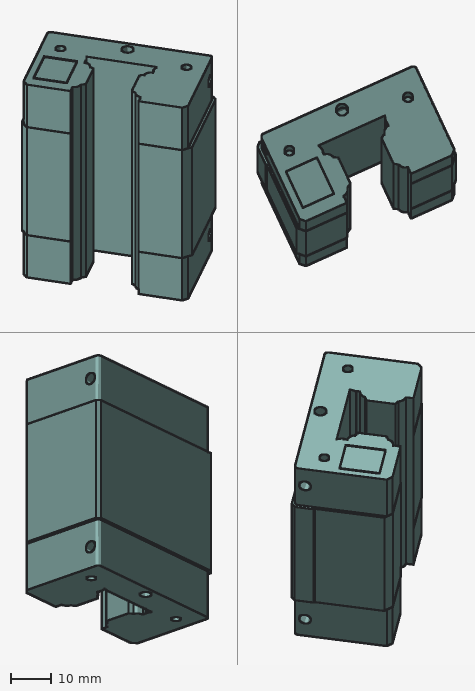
import cadquery as cq
import math

length = 57.3
body_width = 44.0
body_height = 25.3
body_length = 32.1
body_corner = 0.9
cap_width = 42.35
cap_top_drop = 0.7
cap_corner_radius = 0.9
cap_foot_chamfer = 1.2
cap_foot_inset = 0.05

relief_depth = 0.25
reference_edge_drop = 5.75

roof_half_width = 9.05
wall_half_width = 8.75
race_half_width = 7.0
neck_half_width = 5.9
race_radius = 2.0
wall_height = 1.95
race_height = 3.5
neck_height = 4.1
race_mirror_height = 7.75
lip_height = 14.5
lip_half_width = 8.6
roof_height = 16.15

lube_diameter = 3.0
lube_top_drop = 3.4
lube_end_offset = 5.75

screw_diameter = 2.4
screw_spacing = 32.45
screw_top_drop = 7.35
screw_depth = 5.75
drill_tip_angle = 118.0

label_width = 8.5
label_height = 10.1
label_center_x = -14.95
label_center_height = 8.55
label_depth = 0.25

body_top = body_height / 2
base = -body_height / 2
cap_top = body_top - cap_top_drop
cap_foot_drop = (body_width - cap_width) / 2
body_foot_chamfer = cap_foot_chamfer + cap_foot_drop


def block(width, bottom, top, z_length):
    """Plain block between two Y levels, centred on X and Z."""
    return (
        cq.Workplane("XY")
        .box(width, top - bottom, z_length)
        .translate((0, (top + bottom) / 2, 0))
    )


def make_caps():
    caps = block(cap_width, base + cap_foot_inset, cap_top, length)
    caps = caps.edges("|Z and >Y").fillet(cap_corner_radius)
    return caps.edges("|Z and <Y").chamfer(cap_foot_chamfer)


def make_body():
    body = block(body_width, base, body_top, body_length)
    body = body.edges("|Z and >Y").chamfer(body_corner)
    body = body.edges("|Z and <Y").chamfer(body_foot_chamfer)
    side = -body_width / 2
    relief_top = body_top - reference_edge_drop
    relief = (
        cq.Workplane("XY")
        .moveTo(side, base)
        .lineTo(side, relief_top)
        .lineTo(side + relief_depth, relief_top - relief_depth)
        .lineTo(side + relief_depth, base)
        .close()
        .extrude(body_length / 2, both=True)
    )
    return body.cut(relief)


def make_channel():
    """Channel void: rounded races around a narrow neck, flaring out to the roof."""

    def point(half_width, height):
        return (half_width, base + height)

    def upper(height):
        return 2 * race_mirror_height - height

    right_half = (
        cq.Workplane("XY")
        .moveTo(*point(0, 0))
        .lineTo(*point(wall_half_width, 0))
        .lineTo(*point(wall_half_width, wall_height))
        .radiusArc(point(race_half_width, race_height), race_radius)
        .lineTo(*point(neck_half_width, neck_height))
        .lineTo(*point(neck_half_width, upper(neck_height)))
        .lineTo(*point(race_half_width, upper(race_height)))
        .radiusArc(point(wall_half_width, upper(wall_height)), race_radius)
        .lineTo(*point(wall_half_width, lip_height))
        .lineTo(*point(lip_half_width, lip_height))
        .lineTo(*point(roof_half_width, roof_height))
        .lineTo(*point(0, roof_height))
        .close()
        .extrude(length / 2, both=True)
    )
    return right_half.union(right_half.mirror("YZ"))


def cap_bores():
    """Bores of the upper cap: cross bore, end bore meeting it, and screw holes."""
    lube_y = body_top - lube_top_drop
    cross_z = length / 2 - lube_end_offset
    cross_bore = (
        cq.Workplane("YZ")
        .center(lube_y, cross_z)
        .circle(lube_diameter / 2)
        .extrude(body_width / 2, both=True)
    )
    end_bore = (
        cq.Workplane("XY", origin=(0, lube_y, cross_z))
        .circle(lube_diameter / 2)
        .extrude(lube_end_offset)
    )
    screw_radius = screw_diameter / 2
    tip_length = screw_radius / math.tan(math.radians(drill_tip_angle / 2))
    screw_hole = (
        cq.Workplane("XZ")
        .moveTo(0, length / 2)
        .lineTo(screw_radius, length / 2)
        .lineTo(screw_radius, length / 2 - screw_depth)
        .lineTo(0, length / 2 - screw_depth - tip_length)
        .close()
        .revolve(360, (0, 0, 0), (0, 1, 0))
    )
    bores = cross_bore.union(end_bore)
    for x in (-screw_spacing / 2, screw_spacing / 2):
        bores = bores.union(screw_hole.translate((x, body_top - screw_top_drop, 0)))
    return bores


def cut_label(part):
    recess = cq.Workplane("XY").box(label_width, label_height, label_depth)
    center = (label_center_x, base + label_center_height, length / 2 - label_depth / 2)
    return part.cut(recess.translate(center))


carriage = make_caps().union(make_body()).cut(make_channel())
upper_bores = cap_bores()
carriage = carriage.cut(upper_bores).cut(upper_bores.mirror("XY"))
result = cut_label(carriage)